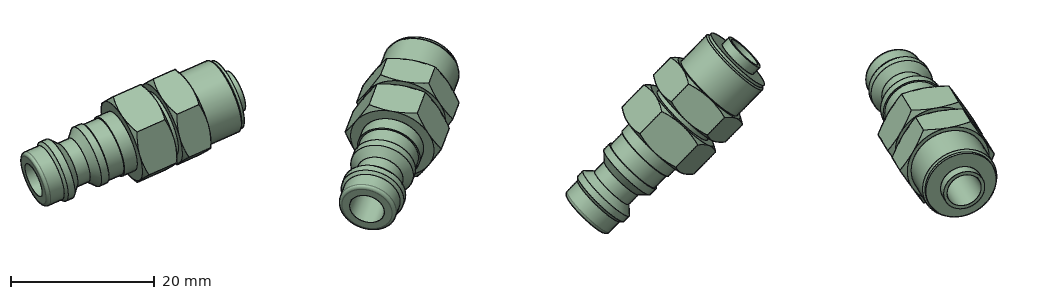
import cadquery as cq
import math

length = 32.0
bore_radius = 2.5

tip_radius = 4.1
tip_fillet = 0.48
tip_end = 2.62
flange_radius = 4.5
front_flange_start = 3.05
front_flange_end = 4.1
groove_radius = 3.33
groove_start = 5.2
groove_end = 7.17
rear_flange_start = 8.32
rear_flange_end = 9.5
shank_radius = 4.3
shank_end = 11.97

hex_across_flats = 12.0
hex_chamfer_angle = 30.0
body_hex_start = 14.0
body_hex_end = 19.45
neck_radius = 4.85
nut_hex_start = 20.32
nut_hex_end = 24.85

sleeve_radius = 5.45
sleeve_end = 30.0
rim_radius = 5.15
rim_start = 30.2
rim_end = 30.62
tube_radius = 3.0


def revolve_about_y(outline):
    """Revolve a closed (radius, y) outline around the Y axis."""
    return cq.Workplane("XY").polyline(outline).close().revolve(360, (0, 0, 0), (0, 1, 0))


def hex_prism(start, end):
    """Hexagon with corners on +X and -X, both ends chamfered down to the flats."""
    flat_radius = hex_across_flats / 2
    corner_radius = flat_radius / math.cos(math.radians(30))
    chamfer_length = (corner_radius - flat_radius) * math.tan(math.radians(hex_chamfer_angle))
    prism = (
        cq.Workplane("XZ", origin=(0, start, 0))
        .polygon(6, 2 * corner_radius)
        .extrude(start - end)
    )
    chamfer_envelope = revolve_about_y([
        (0, start),
        (flat_radius, start),
        (corner_radius, start + chamfer_length),
        (corner_radius, end - chamfer_length),
        (flat_radius, end),
        (0, end),
    ])
    return prism.intersect(chamfer_envelope)


body = revolve_about_y([
    (0, 0),
    (tip_radius, 0),
    (tip_radius, tip_end),
    (flange_radius, front_flange_start),
    (flange_radius, front_flange_end),
    (groove_radius, groove_start),
    (groove_radius, groove_end),
    (flange_radius, rear_flange_start),
    (flange_radius, rear_flange_end),
    (shank_radius, rear_flange_end),
    (shank_radius, shank_end),
    (flange_radius, shank_end),
    (flange_radius, body_hex_start),
    (neck_radius, body_hex_start),
    (neck_radius, nut_hex_end),
    (sleeve_radius, nut_hex_end),
    (sleeve_radius, sleeve_end),
    (rim_radius, rim_start),
    (rim_radius, rim_end),
    (tube_radius, rim_end),
    (tube_radius, length),
    (0, length),
])
body = body.faces("<Y").edges().fillet(tip_fillet)

body_hex = hex_prism(body_hex_start, body_hex_end)
nut_hex = hex_prism(nut_hex_start, nut_hex_end)

bore = cq.Workplane("XZ").circle(bore_radius).extrude(-length)

result = body.union(body_hex).union(nut_hex).cut(bore).translate((0, -length / 2, 0))